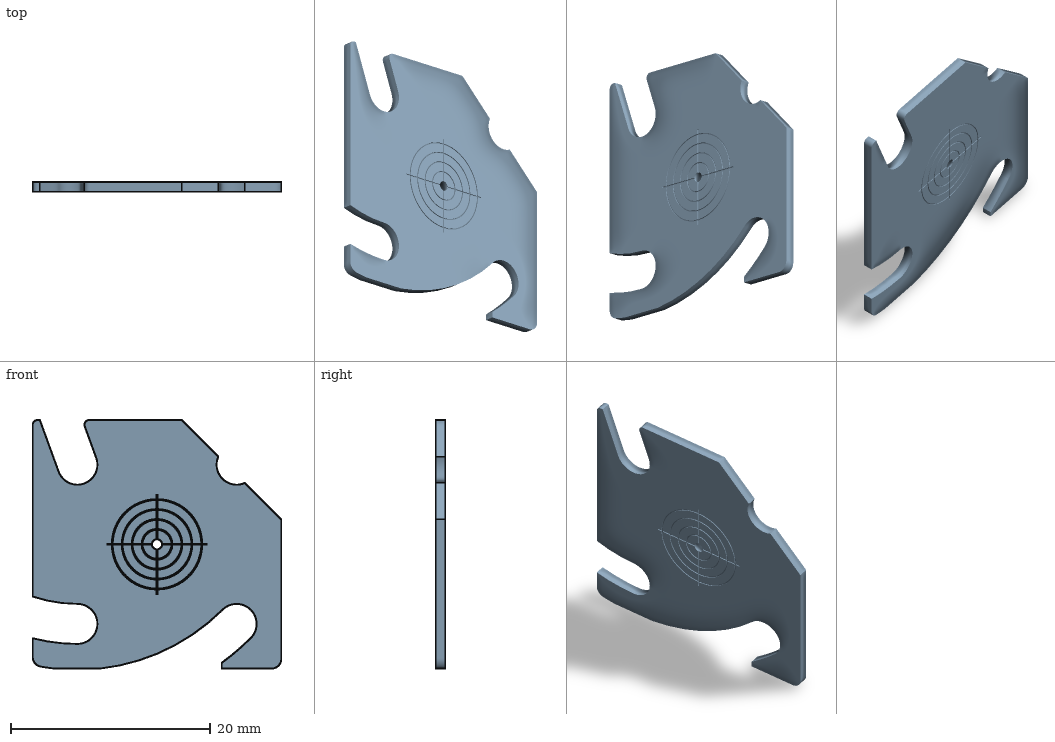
import cadquery as cq
import math

side = 25.0
half = side / 2
thickness = 1.0

seat_offset = 8.0
seat_radius = 2.0
pivot = (-seat_offset, seat_offset)
pivot_slot_tilt = 20.0
cut_reach = 2 * side
chamfer_leg = 10.0

near_seat_distance = 2 * seat_offset
far_seat_distance = 2 * seat_offset * math.sqrt(2)
far_slot_inner = far_seat_distance - seat_radius
hook_tip_x = 6.5

small_round = 0.5
large_round = 1.0

hole_diameter = 1.0
ring_radii = (1.5, 2.5, 3.5, 4.5)
cross_length = 10.0
groove_width = 0.11
groove_depth = 0.1


def extrude_back(sketch, depth=thickness):
    """Extrude a sketch on the XZ plane from Y = 0 toward +Y."""
    return sketch.extrude(-depth)


def disc(center, radius):
    return extrude_back(cq.Workplane("XZ").center(*center).circle(radius))


def ring(center, inner, outer, depth=thickness):
    return extrude_back(cq.Workplane("XZ").center(*center).circle(outer).circle(inner), depth)


def box(x_min, x_max, z_min, z_max, depth=thickness):
    middle = ((x_min + x_max) / 2, (z_min + z_max) / 2)
    return extrude_back(cq.Workplane("XZ").center(*middle).rect(x_max - x_min, z_max - z_min), depth)


def round_corner(body, point, radius):
    """Round the through-thickness edge that stands closest to an (x, z) point."""
    nearest = cq.selectors.NearestToPointSelector((point[0], thickness / 2, point[1]))
    return body.edges("|Y").edges(nearest).fillet(radius)


def make_blank():
    """Square plate with its upper right corner cut off at 45 degrees."""
    blank = box(-half, half, -half, half)
    corner = (
        cq.Workplane("XZ")
        .moveTo(half - chamfer_leg, half)
        .lineTo(half, half)
        .lineTo(half, half - chamfer_leg)
        .close()
    )
    return blank.cut(extrude_back(corner))


def pivot_slot():
    """Straight slot leaning left, open at the top edge."""
    channel = box(-seat_radius, seat_radius, 0, cut_reach)
    channel = channel.rotate((0, 0, 0), (0, 1, 0), -pivot_slot_tilt)
    return channel.translate((pivot[0], 0, pivot[1])).union(disc(pivot, seat_radius))


def near_slot():
    """Curved slot below the pivot, open at the left edge."""
    track = ring(pivot, near_seat_distance - seat_radius, near_seat_distance + seat_radius)
    left_part = box(-cut_reach, -seat_offset, -cut_reach, 0)
    return track.intersect(left_part).union(disc((-seat_offset, -seat_offset), seat_radius))


def far_slot():
    """Curved slot diagonally opposite the pivot, open at the bottom edge."""
    track = ring(pivot, far_slot_inner, far_seat_distance + seat_radius)
    below_diagonal = (
        cq.Workplane("XZ")
        .moveTo(*pivot)
        .lineTo(pivot[0] + cut_reach, pivot[1] - cut_reach)
        .lineTo(-cut_reach, pivot[1] - cut_reach)
        .close()
    )
    track = track.intersect(extrude_back(below_diagonal))
    blunt_end = box(-half, hook_tip_x, -half, -seat_offset).cut(disc(pivot, far_slot_inner))
    return track.union(blunt_end).union(disc((seat_offset, -seat_offset), seat_radius))


def target_engraving():
    """Concentric ring grooves crossed by a horizontal and a vertical groove."""
    reach = cross_length / 2
    edge = groove_width / 2
    grooves = box(-reach, reach, -edge, edge, groove_depth)
    grooves = grooves.union(box(-edge, edge, -reach, reach, groove_depth))
    for radius in ring_radii:
        grooves = grooves.union(ring((0, 0), radius - edge, radius + edge, groove_depth))
    return grooves


def round_outer_corners(body):
    tilt = math.radians(pivot_slot_tilt)
    lip_x = pivot[0] + seat_radius / math.cos(tilt) - (half - pivot[1]) * math.tan(tilt)
    left_corner_z = pivot[1] - math.sqrt(far_slot_inner**2 - (half + pivot[0]) ** 2)

    body = round_corner(body, (-half, half), small_round)
    body = round_corner(body, (lip_x, half), small_round)
    body = round_corner(body, (-half, left_corner_z), large_round)
    return round_corner(body, (half, -half), large_round)


plate = make_blank()
plate = plate.cut(pivot_slot())
plate = plate.cut(near_slot())
plate = plate.cut(far_slot())
plate = plate.cut(disc((seat_offset, seat_offset), seat_radius))
plate = round_outer_corners(plate)
plate = plate.cut(disc((0, 0), hole_diameter / 2))
plate = plate.cut(target_engraving())
result = cq.Workplane(plate.solids().val())